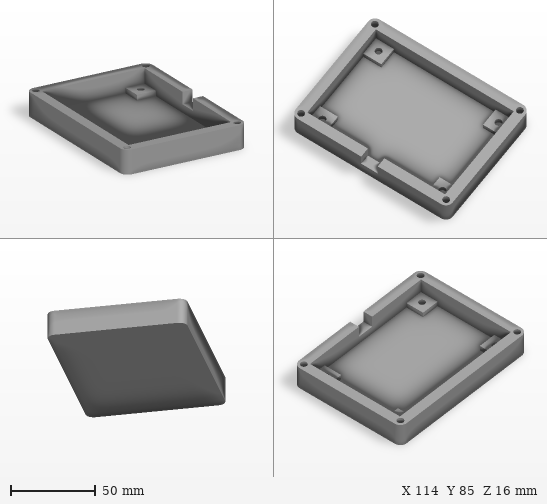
import cadquery as cq

length = 114.0
width = 85.0
height = 16.0
corner_radius = 5.0
wall = 7.0
floor = 2.5

pad_size = 13.1
pad_height = 3.5
pad_hole_inset = 6.5
pad_hole_depth = pad_height

hole_diameter = 4.7
rim_hole_inset = 4.3
rim_hole_depth = height - floor

notch_width = 12.0
notch_depth = height / 2

cavity_length = length - 2 * wall
cavity_width = width - 2 * wall
pad_top = floor + pad_height


def corner_points(span_x, span_y, inset):
    """Four points set in equally from the corners of a centred rectangle."""
    x = span_x / 2 - inset
    y = span_y / 2 - inset
    return [(-x, -y), (x, -y), (x, y), (-x, y)]


def hole_pins(points, top, depth):
    """Cylinders that cut blind holes down from the given level."""
    return (
        cq.Workplane("XY", origin=(0, 0, top))
        .pushPoints(points)
        .circle(hole_diameter / 2)
        .extrude(-depth)
    )


body = cq.Workplane("XY").box(length, width, height, centered=(True, True, False))
body = body.edges("|Z").fillet(corner_radius)
cavity = (
    cq.Workplane("XY", origin=(0, 0, floor))
    .rect(cavity_length, cavity_width)
    .extrude(height - floor)
)
body = body.cut(cavity)

pads = (
    cq.Workplane("XY")
    .pushPoints(corner_points(cavity_length, cavity_width, pad_size / 2))
    .rect(pad_size, pad_size)
    .extrude(pad_top)
)
body = body.union(pads)

pad_hole_points = corner_points(cavity_length, cavity_width, pad_hole_inset)
rim_hole_points = corner_points(length, width, rim_hole_inset)
body = body.cut(hole_pins(pad_hole_points, pad_top, pad_hole_depth))
body = body.cut(hole_pins(rim_hole_points, height, rim_hole_depth))

notch = (
    cq.Workplane("XY", origin=(0, (width - wall) / 2, height - notch_depth))
    .rect(notch_width, wall)
    .extrude(notch_depth)
)
result = body.cut(notch)